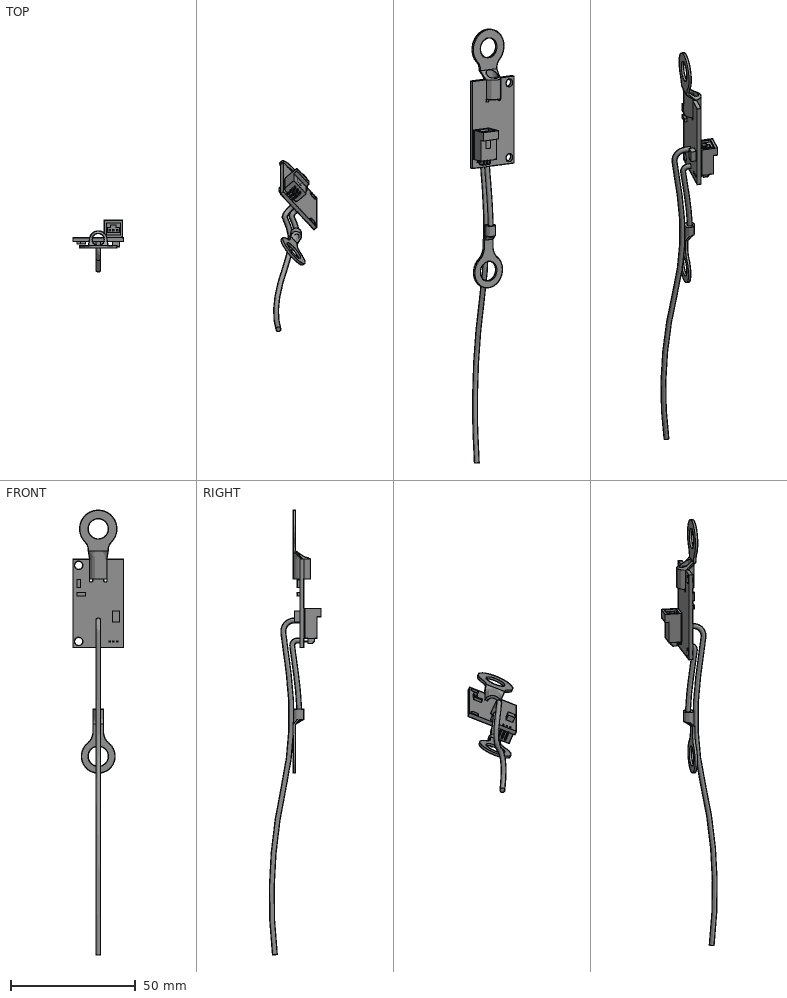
import cadquery as cq
import math


BOARD_WIDTH = 20.3
BOARD_THICKNESS = 1.6
BOARD_HEIGHT = 35.5
MOUNT_HOLE_DIAMETER = 3.2
MOUNT_HOLE_X = -7.8
MOUNT_HOLE_INSET = 2.5

CHIPS = [
    (-7.8, 25.7, 1.5, 3.2, 1.0),
    (-6.8, 21.4, 3.4, 1.5, 1.0),
    (7.1, 12.5, 2.9, 4.5, 2.1),
]

LUG_SHEET = 1.0
LUG_HOLE_DIAMETER = 8.0

BOARD_LUG_RING_RADIUS = 7.5
BOARD_LUG_BARREL_DIAMETER = 7.0
BOARD_LUG_BARREL_RADIUS = BOARD_LUG_BARREL_DIAMETER / 2
BOARD_LUG_BARREL_LENGTH = 8.0
BOARD_LUG_REACH = 12.1
BOARD_LUG_TRANSITION = 3.2
BOARD_LUG_NECK_WIDTH = 8.0
BOARD_LUG_STRAIGHT_NECK = 0.4
BOARD_LUG_WALL = 1.0

WIRE_LUG_RING_RADIUS = 6.8
WIRE_LUG_BARREL_RADIUS = 2.1
WIRE_LUG_BARREL_LENGTH = 4.1
WIRE_LUG_REACH = 14.8
WIRE_LUG_TRANSITION = 2.0
WIRE_LUG_NECK_WIDTH = 4.3
WIRE_LUG_STRAIGHT_NECK = 3.0
WIRE_LUG_TOP = -24.5

BOARD_LUG_BOTTOM = BOARD_HEIGHT - BOARD_LUG_BARREL_LENGTH
BOARD_LUG_BORE_RADIUS = BOARD_LUG_BARREL_RADIUS - BOARD_LUG_WALL
LUG_FRONT_Y = BOARD_THICKNESS / 2 - BOARD_LUG_BARREL_RADIUS
SLOT_BELOW_BARREL = 1.0
SLOT_END_FILLET = 0.4

CONNECTOR_X = 6.0
CONNECTOR_WIDTH = 7.5
CONNECTOR_BOTTOM = 3.7
CONNECTOR_TOP = 15.7
CONNECTOR_BACK_Y = 7.0
LIP_BACK_Y = 8.5
LIP_HEIGHT = 3.4
FOOT_HEIGHT = 0.5
FOOT_INSET = 0.2
SOCKET_WIDTH = 4.8
SOCKET_FRONT_Y = 3.5
SOCKET_BACK_Y = 5.5
SOCKET_DEPTH = 7.1
KEY_WIDTH = 2.1
KEY_BACK_Y = 6.6
MOUTH_WIDTH = 5.7
MOUTH_FRONT_Y = 2.7
MOUTH_BACK_Y = 7.5
MOUTH_DEPTH = 0.9
PIN_COUNT = 3
PIN_PITCH = 1.5
PIN_SIZE = 0.5
CONTACT_RECESS = 1.8
PIN_TAIL_Z = 2.5
PIN_BEND_FRONT_Y = 3.2
PIN_BEND_BACK_Y = 5.9
PIN_BEND_DROP = 2.1
PIN_BEND_CHAMFER = 0.9
PIN_XS = [CONNECTOR_X + PIN_PITCH * (i - (PIN_COUNT - 1) / 2) for i in range(PIN_COUNT)]

WIRE_RADIUS = 1.0
LONG_WIRE_START_Z = 10.9
LONG_WIRE_BEND_END = (-6.6, 5.9)
LONG_WIRE_ARC_POINTS = [(-4.5, -10.3), (-6.5, -55.5), (-10.0, -123.0)]
SHORT_WIRE_START_Z = 2.9
SHORT_WIRE_BEND_END = (-3.0, 0.5)
SHORT_WIRE_ARC_POINTS = [(-1.5, -11.2), (-0.2, -29.2)]


def box(x_min, x_max, y_min, y_max, z_min, z_max):
    size = (x_max - x_min, y_max - y_min, z_max - z_min)
    return cq.Workplane("XY").box(*size, centered=False).translate((x_min, y_min, z_min))


def front_plane(y):
    """Workplane parallel to the board: its local x and y run along X and Z, its normal is -Y."""
    return cq.Workplane("XZ", origin=(0, y, 0))


def make_wire(start_z, bend_end, arc_points):
    """Round wire: straight out of the board, a bend, a straight run, then tangent arcs."""
    run_end = arc_points[0]
    lean = math.atan2(run_end[0] - bend_end[0], bend_end[1] - run_end[1])
    bend_radius = (start_z - bend_end[1]) / (1 + math.sin(lean))
    bend_start_y = bend_end[0] + bend_radius * math.cos(lean)
    path = (
        cq.Workplane("YZ")
        .moveTo(0, start_z)
        .lineTo(bend_start_y, start_z)
        .tangentArcPoint(bend_end, relative=False)
        .lineTo(*run_end)
    )
    for point in arc_points[1:]:
        path = path.tangentArcPoint(point, relative=False)
    return front_plane(0).center(0, start_z).circle(WIRE_RADIUS).sweep(path)


def make_lug(ring_radius, barrel_radius, barrel_length, reach, transition, neck_width, straight_neck):
    """Lug with a solid barrel on the Z axis from z = 0 up, and a flat ring above it at the front."""
    ring_z = barrel_length + reach
    sheet_z = barrel_length + transition
    neck_z = sheet_z + straight_neck
    neck_x = neck_width / 2
    sheet_plane = front_plane(-barrel_radius)

    neck_to_ring = ring_z - neck_z
    flare_radius = (neck_x**2 + neck_to_ring**2 - ring_radius**2) / (2 * (ring_radius - neck_x))
    flare_center_x = neck_x + flare_radius
    flare_angle = math.atan2(neck_to_ring, flare_center_x)
    tangent_x = ring_radius * math.cos(flare_angle)
    tangent_z = ring_z - ring_radius * math.sin(flare_angle)
    middle_x = flare_center_x - flare_radius * math.cos(flare_angle / 2)
    middle_z = neck_z + flare_radius * math.sin(flare_angle / 2)
    sheet = (
        sheet_plane.moveTo(-neck_x, sheet_z)
        .lineTo(neck_x, sheet_z)
        .lineTo(neck_x, neck_z)
        .threePointArc((middle_x, middle_z), (tangent_x, tangent_z))
        .threePointArc((0, ring_z + ring_radius), (-tangent_x, tangent_z))
        .threePointArc((-middle_x, middle_z), (-neck_x, neck_z))
        .close()
        .extrude(-LUG_SHEET)
    )
    ring_hole = sheet_plane.center(0, ring_z).circle(LUG_HOLE_DIAMETER / 2).extrude(-LUG_SHEET)

    barrel = cq.Workplane("XY").circle(barrel_radius).extrude(barrel_length)
    blend = (
        cq.Workplane("XY", origin=(0, 0, barrel_length))
        .circle(barrel_radius)
        .workplane(offset=transition)
        .center(0, LUG_SHEET / 2 - barrel_radius)
        .rect(neck_width, LUG_SHEET)
        .loft(ruled=True)
    )
    return barrel.union(blend).union(sheet).cut(ring_hole)


def make_board_lug():
    """Lug whose open barrel straddles the top edge of the board."""
    lug = make_lug(
        BOARD_LUG_RING_RADIUS,
        BOARD_LUG_BARREL_RADIUS,
        BOARD_LUG_BARREL_LENGTH,
        BOARD_LUG_REACH,
        BOARD_LUG_TRANSITION,
        BOARD_LUG_NECK_WIDTH,
        BOARD_LUG_STRAIGHT_NECK,
    )
    bore_length = BOARD_LUG_BARREL_LENGTH + BOARD_LUG_TRANSITION
    bore = cq.Workplane("XY").circle(BOARD_LUG_BORE_RADIUS).extrude(bore_length)
    return lug.cut(bore).translate((0, BOARD_THICKNESS / 2, BOARD_LUG_BOTTOM))


def make_wire_lug(short_wire, long_wire):
    """Lug hanging ring-down on the short wire, with a shallow groove where the long wire passes."""
    lug = make_lug(
        WIRE_LUG_RING_RADIUS,
        WIRE_LUG_BARREL_RADIUS,
        WIRE_LUG_BARREL_LENGTH,
        WIRE_LUG_REACH,
        WIRE_LUG_TRANSITION,
        WIRE_LUG_NECK_WIDTH,
        WIRE_LUG_STRAIGHT_NECK,
    )
    lug = lug.rotate((0, 0, 0), (0, 1, 0), 180)
    lug = lug.translate((0, LUG_FRONT_Y + WIRE_LUG_BARREL_RADIUS, WIRE_LUG_TOP))
    return lug.cut(short_wire).cut(long_wire)


def make_connector():
    """Housing with a keyed, wide-mouthed socket on top, and bent pins that end in the board."""
    x_min = CONNECTOR_X - CONNECTOR_WIDTH / 2
    x_max = CONNECTOR_X + CONNECTOR_WIDTH / 2
    foot_y = BOARD_THICKNESS
    body_y = BOARD_THICKNESS + FOOT_HEIGHT
    foot = box(x_min + FOOT_INSET, x_max - FOOT_INSET, foot_y, body_y, CONNECTOR_BOTTOM, CONNECTOR_TOP)
    body = box(x_min, x_max, body_y, CONNECTOR_BACK_Y, CONNECTOR_BOTTOM, CONNECTOR_TOP)
    lip = box(x_min, x_max, body_y, LIP_BACK_Y, CONNECTOR_TOP - LIP_HEIGHT, CONNECTOR_TOP)
    housing = foot.union(body).union(lip)

    socket_floor = CONNECTOR_TOP - SOCKET_DEPTH
    mouth_floor = CONNECTOR_TOP - MOUTH_DEPTH
    for width, y_min, y_max, floor in (
        (SOCKET_WIDTH, SOCKET_FRONT_Y, SOCKET_BACK_Y, socket_floor),
        (KEY_WIDTH, SOCKET_BACK_Y, KEY_BACK_Y, socket_floor),
        (MOUTH_WIDTH, MOUTH_FRONT_Y, MOUTH_BACK_Y, mouth_floor),
    ):
        x_left = CONNECTOR_X - width / 2
        housing = housing.cut(box(x_left, x_left + width, y_min, y_max, floor, CONNECTOR_TOP))

    contact_y = (SOCKET_FRONT_Y + SOCKET_BACK_Y) / 2
    contact_top = CONNECTOR_TOP - CONTACT_RECESS
    half_pin = PIN_SIZE / 2
    bend_bottom = CONNECTOR_BOTTOM - PIN_BEND_DROP
    for pin_x in PIN_XS:
        left = pin_x - half_pin
        right = pin_x + half_pin
        contact = box(left, right, contact_y - half_pin, contact_y + half_pin, socket_floor, contact_top)
        bend = box(left, right, PIN_BEND_FRONT_Y, PIN_BEND_BACK_Y, bend_bottom, CONNECTOR_BOTTOM)
        bend = bend.edges("|X").edges(">Y and <Z").chamfer(PIN_BEND_CHAMFER)
        tail = box(left, right, 0, PIN_BEND_FRONT_Y, PIN_TAIL_Z - half_pin, PIN_TAIL_Z + half_pin)
        housing = housing.union(contact).union(bend).union(tail)
    return housing


def make_board(connector):
    """Board with mounting holes, lug slots and pin holes, and the chips on its front."""
    board = box(-BOARD_WIDTH / 2, BOARD_WIDTH / 2, 0, BOARD_THICKNESS, 0, BOARD_HEIGHT)

    mount_holes = (
        front_plane(0)
        .pushPoints([(MOUNT_HOLE_X, z) for z in (MOUNT_HOLE_INSET, BOARD_HEIGHT - MOUNT_HOLE_INSET)])
        .circle(MOUNT_HOLE_DIAMETER / 2)
        .extrude(-BOARD_THICKNESS)
    )
    board = board.cut(mount_holes)

    slot_inner = math.sqrt(BOARD_LUG_BORE_RADIUS**2 - (BOARD_THICKNESS / 2) ** 2)
    slot_outer = BOARD_LUG_BARREL_RADIUS
    slot_bottom = BOARD_LUG_BOTTOM - SLOT_BELOW_BARREL
    for x_min, x_max in ((-slot_outer, -slot_inner), (slot_inner, slot_outer)):
        slot = box(x_min, x_max, 0, BOARD_THICKNESS, slot_bottom, BOARD_HEIGHT)
        board = board.cut(slot.edges("|Y").edges("<Z").fillet(SLOT_END_FILLET))

    for x, z, width, height, thickness in CHIPS:
        chip = box(x - width / 2, x + width / 2, -thickness, 0, z - height / 2, z + height / 2)
        board = board.union(chip)
    return board.cut(connector)


long_wire = make_wire(LONG_WIRE_START_Z, LONG_WIRE_BEND_END, LONG_WIRE_ARC_POINTS)
short_wire = make_wire(SHORT_WIRE_START_Z, SHORT_WIRE_BEND_END, SHORT_WIRE_ARC_POINTS)
board_lug = make_board_lug()
wire_lug = make_wire_lug(short_wire, long_wire)
connector = make_connector()
board = make_board(connector)

result = cq.Compound.makeCompound(
    [
        board.val(),
        connector.val(),
        board_lug.val(),
        wire_lug.val(),
        long_wire.val(),
        short_wire.val(),
    ]
)